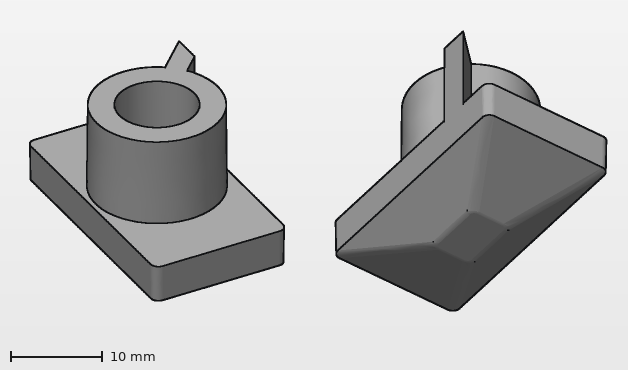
import cadquery as cq
import math

length = 29.0
width = 16.5
block_height = 4.5
corner_radius = 1.0
block_draft = 0.9

nose_height = 3.5
nose_length = 7.37
nose_width = 5.1
nose_edge_radius = 1.15

sleeve_height = 10.5
sleeve_base_diameter = 15.3
sleeve_draft = 0.5
bore_diameter = 9.3
rib_thickness = 2.5
rib_angle = 135.0


def rounded_outline(size_x, size_y, radius, level):
    """Rounded rectangle wire, centred on the Z axis at the given level."""
    outline = cq.Sketch().rect(size_x, size_y).vertices().fillet(radius)
    return outline.reset().faces().val().outerWire().translate(cq.Vector(0, 0, level))


def ruled_solid(upper, lower):
    return cq.Workplane(cq.Solid.makeLoft([upper, lower], True))


def make_base():
    inset = block_height * math.tan(math.radians(block_draft))
    shoulder_length = length - 2 * inset
    shoulder_width = width - 2 * inset
    shoulder_radius = corner_radius - inset
    top = rounded_outline(length, width, corner_radius, 0)
    shoulder = rounded_outline(shoulder_length, shoulder_width, shoulder_radius, -block_height)
    tip_level = -block_height - nose_height
    tip = rounded_outline(nose_length, nose_width, corner_radius, tip_level)
    nose = ruled_solid(shoulder, tip).faces("<Z").edges().fillet(nose_edge_radius)
    return ruled_solid(top, shoulder).union(nose)


def make_sleeve():
    base_radius = sleeve_base_diameter / 2
    top_radius = base_radius - sleeve_height * math.tan(math.radians(sleeve_draft))
    profile = [(0, 0), (base_radius, 0), (top_radius, sleeve_height), (0, sleeve_height)]
    return cq.Workplane("XZ").polyline(profile).close().revolve(360, (0, 0), (0, 1))


def make_rib():
    """Diagonal rib from the sleeve axis, cut flush with the +Y side of the block."""
    reach = width
    rib = (
        cq.Workplane("XY")
        .rect(reach, rib_thickness)
        .extrude(sleeve_height)
        .translate((reach / 2, 0, 0))
        .rotate((0, 0, 0), (0, 0, 1), rib_angle)
    )
    side_limit = cq.Workplane("XY").rect(length, width).extrude(sleeve_height)
    return rib.intersect(side_limit)


bore = cq.Workplane("XY").circle(bore_diameter / 2).extrude(sleeve_height)
result = make_base().union(make_sleeve()).union(make_rib()).cut(bore)